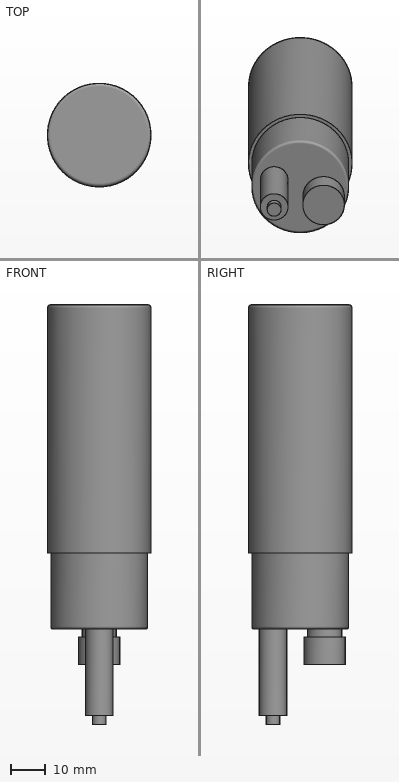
import cadquery as cq

total_height = 121.5
housing_diameter = 30.0
housing_length = 71.9
top_fillet = 1.0
sleeve_diameter = 28.1
sleeve_length = 22.0
sleeve_fillet = 0.7

knob_offset_y = 7.0
neck_diameter = 10.0
neck_length = 2.2
knob_diameter = 12.0
knob_length = 8.0

cable_offset_y = -7.9
cable_diameter = 8.0
core_diameter = 4.0
core_length = 2.5

housing_bottom = total_height - housing_length
sleeve_bottom = housing_bottom - sleeve_length
neck_bottom = sleeve_bottom - neck_length
knob_bottom = neck_bottom - knob_length


def cylinder(diameter, bottom, top, offset_y=0):
    """Vertical cylinder between two heights."""
    base = cq.Workplane("XY", origin=(0, offset_y, bottom))
    return base.circle(diameter / 2).extrude(top - bottom)


housing = cylinder(housing_diameter, housing_bottom, total_height).faces(">Z").fillet(top_fillet)
sleeve = cylinder(sleeve_diameter, sleeve_bottom, housing_bottom).faces("<Z").fillet(sleeve_fillet)

neck = cylinder(neck_diameter, neck_bottom, sleeve_bottom, knob_offset_y)
knob = cylinder(knob_diameter, knob_bottom, neck_bottom, knob_offset_y)

cable = cylinder(cable_diameter, core_length, sleeve_bottom, cable_offset_y)
core = cylinder(core_diameter, 0, core_length, cable_offset_y)

result = housing.union(sleeve).union(neck).union(knob).union(cable).union(core)